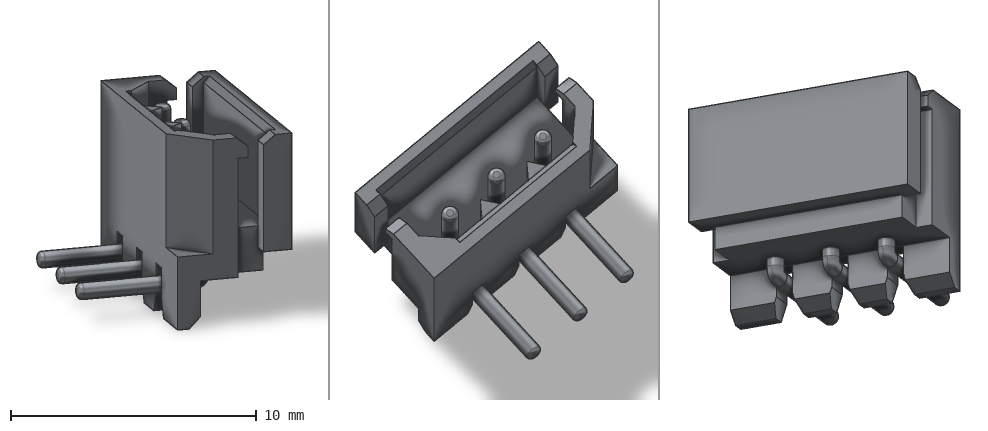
import cadquery as cq


WIDTH = 9.9
HEIGHT = 7.9
DEPTH = 4.89

LEG_DEPTH = 0.98
LEG_CHAMFER = 0.495
FLOOR_BOTTOM = 2.0
FLOOR_TOP = 3.89
FLOOR_BACK = 3.9
BACK_PLATE_FRONT = 3.68
BACK_PLATE_BOTTOM = 2.98
SIDE_WALL_BACK = 2.59
LATCH_BACK = 3.01
LATCH_HEIGHT = 0.87
LEAD_IN_DEPTH = 0.495
LEAD_IN_HEIGHT = 0.4

CAVITY_HALF_WIDTH = 4.23
CAVITY_FRONT = 0.72
CAVITY_BACK = 4.17
CAVITY_CORNER = 1.08
RIM_CHAMFER_DEPTH = 0.25
RIM_CHAMFER_HEIGHT = 0.26

RIB_HALF_WIDTH = 0.49
RIB_DEPTH = 0.66

BEVEL = 1.5
BEVEL_BOTTOM = 3.09

PIN_COUNT = 3
PIN_PITCH = 2.5
PIN_DIAMETER = 0.69
PIN_ROUND = 0.2
CONTACT_Y = 1.82
CONTACT_TOP = 7.41
TAIL_Z = 1.29
TAIL_REACH = 3.5

SLOT_HALF_WIDTH = 0.37
SLOT_TOP = 2.08
SLOT_FLARE_TOP = 0.74
SLOT_FLARE_HALF_WIDTH = 0.62

PIN_RADIUS = PIN_DIAMETER / 2
BEND_TOP = TAIL_Z + PIN_RADIUS
BEND_FRONT = CONTACT_Y - PIN_RADIUS
RIM_BOTTOM = HEIGHT - RIM_CHAMFER_HEIGHT
PIN_XS = [PIN_PITCH * (i - (PIN_COUNT - 1) / 2) for i in range(PIN_COUNT)]
RIB_XS = [(left + right) / 2 for left, right in zip(PIN_XS, PIN_XS[1:])]


def side_extrusion(outline, half_width):
    """Extrude a (Y, Z) outline symmetrically about X = 0."""
    return cq.Workplane("YZ").polyline(outline).close().extrude(half_width, both=True)


def plan_extrusion(outline, bottom, top):
    """Extrude an (X, Y) outline between two heights."""
    return cq.Workplane("XY").workplane(offset=bottom).polyline(outline).close().extrude(top - bottom)


def front_block():
    """Front wall with legs below and latch noses at the top of the side walls."""
    return side_extrusion(
        [
            (0, 0),
            (LEG_DEPTH - LEG_CHAMFER, 0),
            (LEG_DEPTH, LEG_CHAMFER),
            (LEG_DEPTH, FLOOR_BOTTOM),
            (SIDE_WALL_BACK, FLOOR_BOTTOM),
            (SIDE_WALL_BACK, HEIGHT - LATCH_HEIGHT),
            (LATCH_BACK, HEIGHT - LATCH_HEIGHT),
            (LATCH_BACK, HEIGHT - LEAD_IN_HEIGHT),
            (LATCH_BACK - LEAD_IN_DEPTH, HEIGHT),
            (0, HEIGHT),
        ],
        WIDTH / 2,
    )


def back_plate():
    """Rear wall with a lead-in along its top front edge."""
    return side_extrusion(
        [
            (BACK_PLATE_FRONT, BACK_PLATE_BOTTOM),
            (DEPTH, BACK_PLATE_BOTTOM),
            (DEPTH, HEIGHT),
            (BACK_PLATE_FRONT + LEAD_IN_DEPTH, HEIGHT),
            (BACK_PLATE_FRONT, HEIGHT - LEAD_IN_HEIGHT),
        ],
        WIDTH / 2,
    )


def floor_block():
    """Narrower floor that joins the front block to the back plate."""
    return side_extrusion(
        [
            (0, FLOOR_BOTTOM),
            (FLOOR_BACK, FLOOR_BOTTOM),
            (FLOOR_BACK, FLOOR_TOP),
            (0, FLOOR_TOP),
        ],
        CAVITY_HALF_WIDTH,
    )


def cavity():
    """Space above the floor, with chamfered front corners."""
    front_half_width = CAVITY_HALF_WIDTH - CAVITY_CORNER
    corner_back = CAVITY_FRONT + CAVITY_CORNER
    return plan_extrusion(
        [
            (-front_half_width, CAVITY_FRONT),
            (front_half_width, CAVITY_FRONT),
            (CAVITY_HALF_WIDTH, corner_back),
            (CAVITY_HALF_WIDTH, CAVITY_BACK),
            (-CAVITY_HALF_WIDTH, CAVITY_BACK),
            (-CAVITY_HALF_WIDTH, corner_back),
        ],
        FLOOR_TOP,
        HEIGHT,
    )


def rim_chamfer(wall, outward, half_width):
    """Cutter for the chamfer on a cavity rim; outward is the Y sign pointing into the wall."""
    return side_extrusion(
        [
            (wall, RIM_BOTTOM),
            (wall + outward * RIM_CHAMFER_DEPTH, HEIGHT),
            (wall, HEIGHT),
        ],
        half_width,
    )


def rib(x):
    """Triangular rib standing on the floor against the front wall."""
    return plan_extrusion(
        [
            (x - RIB_HALF_WIDTH, CAVITY_FRONT),
            (x + RIB_HALF_WIDTH, CAVITY_FRONT),
            (x, CAVITY_FRONT + RIB_DEPTH),
        ],
        FLOOR_TOP,
        RIM_BOTTOM,
    )


def corner_bevel():
    """Cutter for the bevelled +X front corner."""
    return plan_extrusion(
        [
            (WIDTH / 2 - BEVEL, 0),
            (WIDTH / 2, 0),
            (WIDTH / 2, BEVEL),
        ],
        BEVEL_BOTTOM,
        HEIGHT,
    )


def leg_slot(x):
    """Cutter for the slot around one tail, flared at the bottom."""
    outline = [
        (x - SLOT_FLARE_HALF_WIDTH, 0),
        (x - SLOT_HALF_WIDTH, SLOT_FLARE_TOP),
        (x - SLOT_HALF_WIDTH, SLOT_TOP),
        (x + SLOT_HALF_WIDTH, SLOT_TOP),
        (x + SLOT_HALF_WIDTH, SLOT_FLARE_TOP),
        (x + SLOT_FLARE_HALF_WIDTH, 0),
    ]
    return cq.Workplane("XZ").polyline(outline).close().extrude(-LEG_DEPTH)


def pin_section(workplane):
    """Draw the round pin section as two half circles that meet at X = 0."""
    return (
        workplane.moveTo(0, -PIN_RADIUS)
        .threePointArc((PIN_RADIUS, 0), (0, PIN_RADIUS))
        .threePointArc((-PIN_RADIUS, 0), (0, -PIN_RADIUS))
        .close()
    )


def pin_hole(x):
    """Cutter for the hole in the floor that a contact fills."""
    return (
        pin_section(cq.Workplane("XY", origin=(x, CONTACT_Y, FLOOR_BOTTOM)))
        .extrude(FLOOR_TOP - FLOOR_BOTTOM)
    )


def make_housing():
    body = front_block().union(back_plate()).union(floor_block()).cut(cavity())
    body = body.cut(rim_chamfer(CAVITY_FRONT, -1, CAVITY_HALF_WIDTH - CAVITY_CORNER))
    body = body.cut(rim_chamfer(CAVITY_BACK, 1, CAVITY_HALF_WIDTH))
    body = body.cut(corner_bevel())
    for x in RIB_XS:
        body = body.union(rib(x))
    for x in PIN_XS:
        body = body.cut(leg_slot(x)).cut(pin_hole(x))
    return body


def make_contact(x):
    """Upright part of a pin, from its rounded tip down through the quarter bend toward -Y."""
    upright = (
        pin_section(cq.Workplane("XY", origin=(x, CONTACT_Y, BEND_TOP)))
        .extrude(CONTACT_TOP - BEND_TOP)
        .faces(">Z")
        .edges()
        .fillet(PIN_ROUND)
    )
    bend = (
        pin_section(cq.Workplane("XY", origin=(x, CONTACT_Y, BEND_TOP)))
        .revolve(90, (0, -PIN_RADIUS, 0), (-1, -PIN_RADIUS, 0))
    )
    return upright.union(bend)


def make_tail(x):
    """Straight part of a pin, from the end of the bend to its rounded tip."""
    return (
        pin_section(cq.Workplane("XZ", origin=(x, BEND_FRONT, TAIL_Z)))
        .extrude(BEND_FRONT + TAIL_REACH)
        .faces("<Y")
        .edges()
        .fillet(PIN_ROUND)
    )


housing = make_housing()
contacts = [make_contact(x) for x in PIN_XS]
tails = [make_tail(x) for x in PIN_XS]

result = cq.Compound.makeCompound(
    [
        housing.val(),
        *[contact.val() for contact in contacts],
        *[tail.val() for tail in tails],
    ]
)